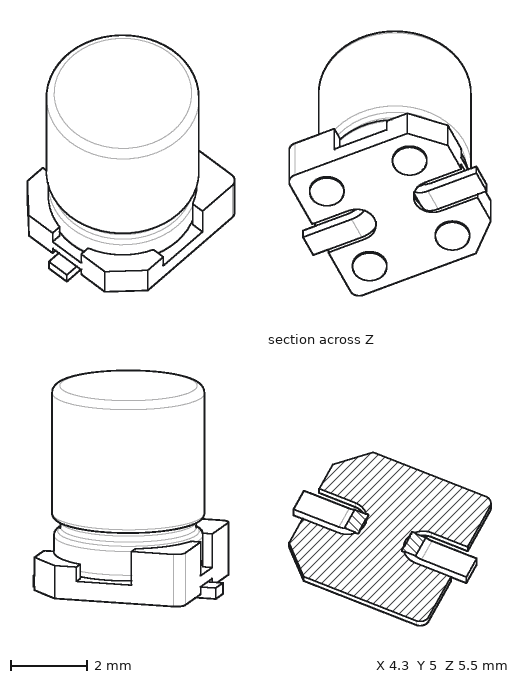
import cadquery as cq
import math

TOTAL_HEIGHT = 5.5
LEAD_SPAN = 5.0

BASE_SIZE = 4.3
BASE_BOTTOM = 0.15
BASE_FLOOR = 0.65
FRONT_TOP = 1.035
REAR_TOP = 1.55
FRONT_CHAMFER = 0.8
REAR_CORNER_RADIUS = 0.5 / 2
SIDE_NOTCH_WIDTH = 1.51
END_NOTCH_WIDTH = 1.02

FOOT_DIAMETER = 0.9
FOOT_HEIGHT = 0.06
FOOT_X = 1.34
REAR_FOOT_Y = 1.34
FRONT_FOOT_Y = -1.045

CAN_RADIUS = 4.0 / 2
NECK_RADIUS = 3.56 / 2
SKIRT_RADIUS = 3.9 / 2
CAN_EDGE_RADIUS = 0.2
BEAD_RADIUS = 0.12
GROOVE_RADIUS = CAN_RADIUS - NECK_RADIUS - BEAD_RADIUS
NECK_BOTTOM = 1.7
NECK_TOP = 1.86

LEAD_WIDTH = 0.645
LEAD_THICKNESS = 0.295
BEND_OUTER_RADIUS = 0.98 / 2
BEND_INNER_RADIUS = 0.58 / 2
BEND_CENTRE_Y = 1.1
LEAD_RELIEF_CEILING = 0.35


def arc_middle(centre, radius, start_angle, end_angle):
    """Point halfway along an arc, angles in radians."""
    angle = (start_angle + end_angle) / 2
    return (centre[0] + radius * math.cos(angle), centre[1] + radius * math.sin(angle))


def make_can_shell():
    """Revolved can with rounded rims and a crimped neck above the skirt."""
    round_sum = GROOVE_RADIUS + BEAD_RADIUS
    sweep = math.acos(1 - (SKIRT_RADIUS - NECK_RADIUS) / round_sum)
    skirt_top = NECK_BOTTOM - round_sum * math.sin(sweep)
    skirt_bead_centre = (SKIRT_RADIUS - BEAD_RADIUS, skirt_top)
    lower_groove_centre = (NECK_RADIUS + GROOVE_RADIUS, NECK_BOTTOM)
    lower_tangent = (
        skirt_bead_centre[0] + BEAD_RADIUS * math.cos(sweep),
        skirt_bead_centre[1] + BEAD_RADIUS * math.sin(sweep),
    )

    upper_groove_centre = (NECK_RADIUS + GROOVE_RADIUS, NECK_TOP)
    upper_tangent = (NECK_RADIUS + GROOVE_RADIUS, NECK_TOP + GROOVE_RADIUS)
    body_bottom = upper_tangent[1] + BEAD_RADIUS
    body_bead_centre = (CAN_RADIUS - BEAD_RADIUS, body_bottom)

    profile = (
        cq.Workplane("XZ")
        .moveTo(0, BASE_FLOOR)
        .lineTo(SKIRT_RADIUS, BASE_FLOOR)
        .lineTo(SKIRT_RADIUS, skirt_top)
        .threePointArc(arc_middle(skirt_bead_centre, BEAD_RADIUS, 0, sweep), lower_tangent)
        .threePointArc(
            arc_middle(lower_groove_centre, GROOVE_RADIUS, math.pi, math.pi + sweep),
            (NECK_RADIUS, NECK_BOTTOM),
        )
        .lineTo(NECK_RADIUS, NECK_TOP)
        .threePointArc(
            arc_middle(upper_groove_centre, GROOVE_RADIUS, math.pi / 2, math.pi),
            upper_tangent,
        )
        .threePointArc(
            arc_middle(body_bead_centre, BEAD_RADIUS, -math.pi / 2, 0),
            (CAN_RADIUS, body_bottom),
        )
        .lineTo(CAN_RADIUS, TOTAL_HEIGHT)
        .lineTo(0, TOTAL_HEIGHT)
        .close()
    )
    shell = profile.revolve(360, (0, 0, 0), (0, 1, 0))
    return shell.faces("<Z or >Z").edges().fillet(CAN_EDGE_RADIUS)


def make_lead(side):
    """L-shaped lead from the can floor to the tip at -Y (side = -1) or +Y (side = 1)."""
    inner_y = BEND_CENTRE_Y - BEND_OUTER_RADIUS
    outer_y = inner_y + LEAD_THICKNESS
    tip_y = LEAD_SPAN / 2
    inner_bend_centre = (outer_y + BEND_INNER_RADIUS, LEAD_THICKNESS + BEND_INNER_RADIUS)
    outer_bend_middle = arc_middle(
        (BEND_CENTRE_Y, BEND_OUTER_RADIUS), BEND_OUTER_RADIUS, math.pi, 3 * math.pi / 2
    )
    inner_bend_middle = arc_middle(inner_bend_centre, BEND_INNER_RADIUS, math.pi, 3 * math.pi / 2)
    lead = (
        cq.Workplane("YZ")
        .moveTo(tip_y, 0)
        .lineTo(BEND_CENTRE_Y, 0)
        .threePointArc(outer_bend_middle, (inner_y, BEND_OUTER_RADIUS))
        .lineTo(inner_y, BASE_FLOOR)
        .lineTo(outer_y, BASE_FLOOR)
        .lineTo(outer_y, inner_bend_centre[1])
        .threePointArc(inner_bend_middle, (inner_bend_centre[0], LEAD_THICKNESS))
        .lineTo(tip_y, LEAD_THICKNESS)
        .close()
        .extrude(LEAD_WIDTH / 2, both=True)
    )
    return lead if side > 0 else lead.mirror("XZ")


def box_from(bottom, top, x_size, y_size, y_centre=0.0):
    """Box centred on X = 0 between two heights."""
    return (
        cq.Workplane("XY", origin=(0, y_centre, bottom))
        .rect(x_size, y_size)
        .extrude(top - bottom)
    )


def make_base_block():
    """Square block, chamfered at the front corners, rounded at the rear, with a lower front."""
    block = box_from(BASE_BOTTOM, REAR_TOP, BASE_SIZE, BASE_SIZE)
    block = block.edges("|Z and <Y").chamfer(FRONT_CHAMFER)
    block = block.edges("|Z and >Y").fillet(REAR_CORNER_RADIUS)
    front_step = box_from(FRONT_TOP, REAR_TOP, BASE_SIZE, BASE_SIZE / 2, -BASE_SIZE / 4)
    return block.cut(front_step)


def make_lead_relief(side):
    """Round-ended slot in the underside of the base, open at one Y face."""
    slot_length = BASE_SIZE / 2 - BEND_CENTRE_Y
    slot = box_from(
        BASE_BOTTOM,
        LEAD_RELIEF_CEILING,
        END_NOTCH_WIDTH,
        slot_length,
        side * (BEND_CENTRE_Y + slot_length / 2),
    )
    round_end = (
        cq.Workplane("XY", origin=(0, side * BEND_CENTRE_Y, BASE_BOTTOM))
        .circle(END_NOTCH_WIDTH / 2)
        .extrude(LEAD_RELIEF_CEILING - BASE_BOTTOM)
    )
    return slot.union(round_end)


def make_base(leads):
    """Base with can seat, edge notches, lead passages and feet."""
    base = make_base_block()
    seat = (
        cq.Workplane("XY", origin=(0, 0, BASE_FLOOR))
        .circle(SKIRT_RADIUS)
        .extrude(REAR_TOP - BASE_FLOOR)
    )
    base = base.cut(seat)
    base = base.cut(box_from(BASE_FLOOR, REAR_TOP, BASE_SIZE, SIDE_NOTCH_WIDTH))
    base = base.cut(box_from(BASE_FLOOR, REAR_TOP, END_NOTCH_WIDTH, BASE_SIZE))

    for side, lead in leads.items():
        base = base.cut(make_lead_relief(side)).cut(lead)

    feet = (
        cq.Workplane("XY", origin=(0, 0, BASE_BOTTOM))
        .pushPoints([(x, y) for x in (-FOOT_X, FOOT_X) for y in (FRONT_FOOT_Y, REAR_FOOT_Y)])
        .circle(FOOT_DIAMETER / 2)
        .extrude(-FOOT_HEIGHT)
    )
    return base.union(feet)


def make_can(leads):
    """Can and its two leads as one solid."""
    can = make_can_shell()
    for lead in leads.values():
        can = can.union(lead)
    return can


leads = {side: make_lead(side) for side in (-1, 1)}
base = make_base(leads).solids()
can = make_can(leads).solids()

result = cq.Compound.makeCompound([base.val(), can.val()])